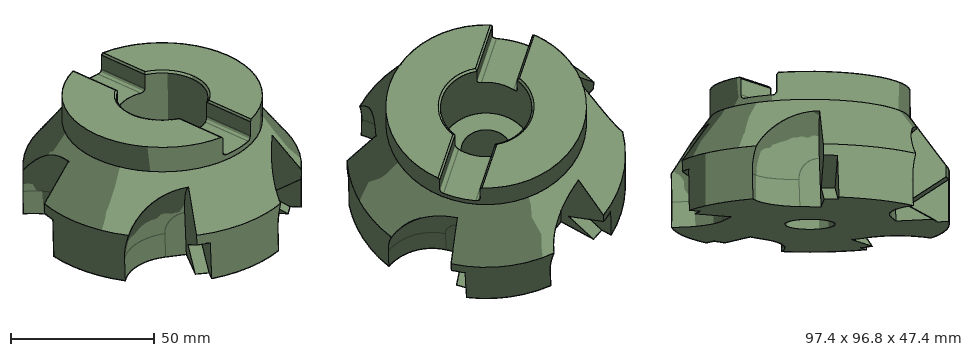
import cadquery as cq
import math

body_radius = 48.7
hub_radius = 35.1
cone_start_height = 18.8
cone_end_height = 37.4
total_height = 47.4

bolt_hole_radius = 8.8
bore_radius = 16.0
bore_depth = 26.3
bore_chamfer = 0.8
slot_width = 14.6
slot_depth = 7.9
slot_corner_radius = 1.5
slot_edge_chamfer = 0.7

tooth_count = 5
wall_tilt = 2.0
pocket_center_height = 9.9
wall_offset = -1.1
pocket_floor_distance = 30.5
pocket_floor_radius = 7.4
pocket_corner_radius = 18.5
pocket_radius = pocket_floor_radius + pocket_corner_radius
clearance = 9.7

seat_depth = 4.9
seat_tip_distance = 33.8
seat_tip_height = 6.0
seat_half_angle = 30.5


def make_body():
    outline = [
        (0, 0),
        (body_radius, 0),
        (body_radius, cone_start_height),
        (hub_radius, cone_end_height),
        (hub_radius, total_height),
        (0, total_height),
    ]
    return cq.Workplane("XZ").polyline(outline).close().revolve(360, (0, 0), (0, 1))


def make_bore():
    bolt_hole = cq.Workplane("XY").circle(bolt_hole_radius).extrude(total_height)
    bore = (
        cq.Workplane("XY")
        .workplane(offset=total_height - bore_depth)
        .circle(bore_radius)
        .extrude(bore_depth)
    )
    rim = (
        cq.Workplane("XY")
        .workplane(offset=total_height - bore_chamfer)
        .circle(bore_radius)
        .workplane(offset=bore_chamfer)
        .circle(bore_radius + bore_chamfer)
        .loft()
    )
    return bolt_hole.union(bore).union(rim)


def make_drive_slot():
    half_width = slot_width / 2
    slot_length = 2 * body_radius
    slot = (
        cq.Workplane("XY")
        .box(slot_length, slot_width, slot_depth, centered=(True, True, False))
        .translate((0, 0, total_height - slot_depth))
        .edges("|X and <Z")
        .fillet(slot_corner_radius)
    )
    edge_break = (
        cq.Workplane("YZ")
        .moveTo(-half_width - slot_edge_chamfer, total_height)
        .lineTo(half_width + slot_edge_chamfer, total_height)
        .lineTo(half_width, total_height - slot_edge_chamfer)
        .lineTo(-half_width, total_height - slot_edge_chamfer)
        .close()
        .extrude(slot_length / 2, both=True)
    )
    return slot.union(edge_break)


def pocket_profile():
    """Half section of the pocket: flat floor, rounded corner, straight side."""
    floor_x = -pocket_floor_distance
    side_start_x = floor_x - pocket_corner_radius
    outer_x = -body_radius - clearance
    return (
        cq.Workplane("XY")
        .moveTo(floor_x, 0)
        .lineTo(floor_x, pocket_floor_radius)
        .tangentArcPoint((side_start_x, pocket_radius), relative=False)
        .lineTo(outer_x, pocket_radius)
        .lineTo(outer_x, 0)
        .close()
    )


def make_pocket():
    """Quarter-round pocket top and straight pocket bottom, centred on the X axis."""
    rounded_top = pocket_profile().revolve(90, (0, 0), (1, 0))
    straight_bottom = pocket_profile().extrude(-pocket_center_height - clearance)
    return rounded_top.union(straight_bottom)


def make_insert_seat():
    """V-shaped prism sunk below the tooth wall, in the same frame as the pocket."""
    tip_z = seat_tip_height - pocket_center_height
    arm_length = body_radius + clearance - seat_tip_distance
    arm_rise = arm_length * math.tan(math.radians(seat_half_angle))
    outer_x = -seat_tip_distance - arm_length
    return (
        cq.Workplane("XZ")
        .moveTo(-seat_tip_distance, tip_z)
        .lineTo(outer_x, tip_z + arm_rise)
        .lineTo(outer_x, tip_z - arm_rise)
        .close()
        .extrude(seat_depth)
    )


def make_tooth_gap():
    gap = make_pocket().union(make_insert_seat())
    tilted = gap.rotate((0, 0, 0), (1, 0, 0), -wall_tilt)
    return tilted.translate((0, wall_offset, pocket_center_height))


result = make_body().cut(make_bore()).cut(make_drive_slot())
tooth_gap = make_tooth_gap()
for index in range(tooth_count):
    angle = index * 360 / tooth_count
    result = result.cut(tooth_gap.rotate((0, 0, 0), (0, 0, 1), angle))